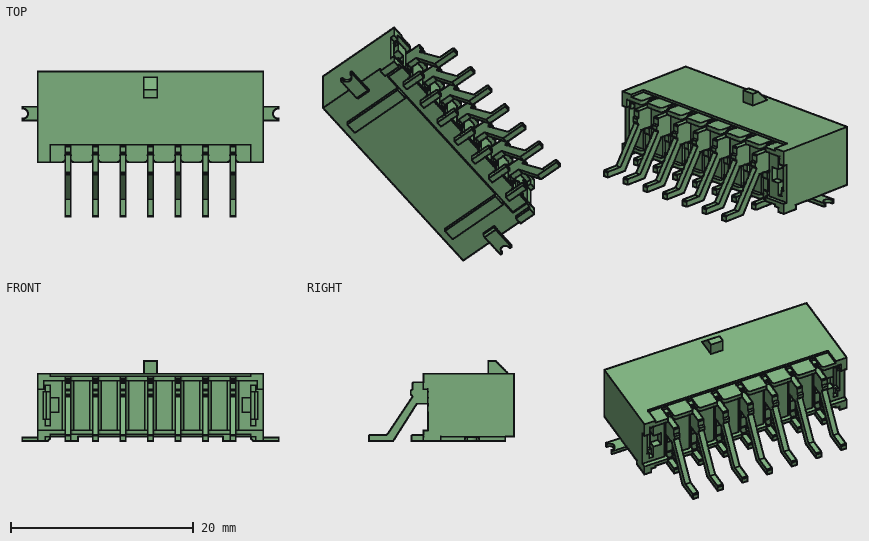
import cadquery as cq


body_width = 24.67
body_depth = 9.95
body_bottom = 0.5
body_top = 7.4
body_half = body_width / 2

step_width = 21.97
step_depth = 1.95
slot_top = 7.1
slot_bottom = 0.73

recess_depth = 0.5
lip_bottom = 6.6
ledge_top = 1.18
corner_block_bottom = 5.68
corner_block_inner = 11.65

terminal_count = 7
pitch = 3.0
terminal_width = 0.65
terminal_root = 2.25
slot_depth = 1.8
slot_flare = 0.3
lead_thickness = 0.67
lead_edge_break = 0.1
upper_lead_end = -5.95
lower_lead_end = -1.3

latch_width = 1.45
latch_top = 8.77
latch_back = 9.3
latch_front = 7.08
latch_height = latch_top - body_top

nail_tip = 14.05
nail_front = 4.55
nail_width = 1.55
nail_thickness = 0.42
nail_leg_outer = 11.5
nail_leg_inner = 11.0
nail_leg_height = 3.37
nail_chamfer = 0.25
nail_notch_radius = 0.53
nail_notch_inset = 0.1

foot_inner = nail_leg_outer
rail_inner = 7.92
rail_width = 1.35
rail_length = 7.05

tab_depth = 0.8
pocket_depth = 0.87
pocket_side_depth = 0.95
pocket_end_depth = 0.55
pocket_bottom = 1.7
pocket_top = 6.1
pocket_wide_bottom = 2.4
pocket_wide_top = 5.4
pocket_wide_outer = 11.75
pocket_step = 11.4
tab_inner = 10.05
tab_bottom = 3.15
tab_top = 4.75


def block(x_range, y_range, z_range):
    """Axis-aligned block spanning the given ranges."""
    sizes = [high - low for low, high in (x_range, y_range, z_range)]
    corner = (x_range[0], y_range[0], z_range[0])
    return cq.Workplane("XY").box(*sizes, centered=False).translate(corner)


def centred_block(half_width, y_range, z_range):
    """Block centred on X = 0."""
    return block((-half_width, half_width), y_range, z_range)


def side_profile(points, width):
    """Profile in (Y, Z), extruded symmetrically about X = 0."""
    return cq.Workplane("YZ").polyline(points).close().extrude(width / 2, both=True)


def mirrored(solid):
    """The solid together with its mirror image across X = 0."""
    return solid.union(solid.mirror("YZ"))


def make_housing():
    housing = centred_block(body_half, (0, body_depth), (body_bottom, body_top))
    step_y = (0, step_depth)
    housing = housing.cut(centred_block(step_width / 2, step_y, (slot_top, body_top)))
    housing = housing.cut(centred_block(step_width / 2, step_y, (body_bottom, slot_bottom)))
    recess_y = (0, recess_depth)
    housing = housing.cut(centred_block(body_half, recess_y, (ledge_top, corner_block_bottom)))
    housing = housing.cut(centred_block(corner_block_inner, recess_y, (ledge_top, lip_bottom)))
    return housing


def make_terminal_slot():
    """Slot with a rounded mouth at the lip and ledge and a chamfered mouth at the recess floor."""
    half = terminal_width / 2
    mouth = half + slot_flare
    arc_offset = slot_flare * (1 - 0.5 ** 0.5)
    slot = (
        cq.Workplane("XY", origin=(0, 0, slot_bottom))
        .moveTo(-mouth, 0)
        .lineTo(mouth, 0)
        .threePointArc((half + arc_offset, arc_offset), (half, slot_flare))
        .lineTo(half, slot_depth)
        .lineTo(-half, slot_depth)
        .lineTo(-half, slot_flare)
        .threePointArc((-half - arc_offset, arc_offset), (-mouth, 0))
        .close()
        .extrude(slot_top - slot_bottom)
    )
    flare_back = recess_depth + slot_flare
    recess_mouth = (
        cq.Workplane("XY", origin=(0, 0, ledge_top))
        .polyline([(-mouth, recess_depth), (mouth, recess_depth), (half, flare_back), (-half, flare_back)])
        .close()
        .extrude(lip_bottom - ledge_top)
    )
    return slot.union(recess_mouth)


def make_upper_terminal():
    """Long terminal: a barbed head in the slot and a lead that slopes down to the board."""
    head_top = 6.45
    head_bottom = 4.07
    head_front = -1.18
    barb_front = 0.98
    barb_back = 1.71
    barb_top = 6.88
    barb_break = 0.1
    barb_ramp = 0.15
    nose_front = -1.38
    nose_top = 5.54
    nose_bottom = 5.11
    nose_taper = 0.15
    slope_top = 4.85
    slope_underside_start = -0.7
    heel = -3.3
    bend_start = -3.9
    bend_end = -4.05
    return side_profile(
        [
            (terminal_root, head_bottom),
            (terminal_root, head_top),
            (barb_back + barb_ramp, head_top),
            (barb_back, barb_top),
            (barb_front + barb_break, barb_top),
            (barb_front, barb_top - barb_break),
            (barb_front, head_top + barb_ramp),
            (barb_front - barb_ramp, head_top),
            (head_front + lead_edge_break, head_top),
            (head_front, head_top - lead_edge_break),
            (head_front, nose_top + nose_taper),
            (nose_front, nose_top),
            (nose_front, nose_bottom),
            (nose_front + nose_taper, nose_bottom - nose_taper),
            (head_front, slope_top),
            (bend_start, lead_thickness + lead_edge_break),
            (bend_end, lead_thickness),
            (upper_lead_end + lead_edge_break, lead_thickness),
            (upper_lead_end, lead_thickness - lead_edge_break),
            (upper_lead_end, 0),
            (heel, 0),
            (slope_underside_start, head_bottom),
        ],
        terminal_width,
    )


def make_lower_terminal():
    """Short terminal: an upright head in the slot above a lead lying on the board."""
    head_top = 3.88
    head_bottom = 3.18
    head_front = 0.48
    neck_setback = 0.08
    heel_front = recess_depth
    heel_top = 1.63
    lead_back = 1.12
    neck_front = head_front + neck_setback
    return side_profile(
        [
            (terminal_root, slot_bottom),
            (terminal_root, head_top),
            (head_front, head_top),
            (head_front, head_bottom),
            (neck_front, head_bottom - neck_setback),
            (neck_front, heel_top + neck_setback),
            (heel_front, heel_top),
            (heel_front, lead_thickness + lead_edge_break),
            (heel_front - lead_edge_break, lead_thickness),
            (lower_lead_end + lead_edge_break, lead_thickness),
            (lower_lead_end, lead_thickness - lead_edge_break),
            (lower_lead_end, 0),
            (lead_back, 0),
            (lead_back, slot_bottom),
        ],
        terminal_width,
    )


def make_latch():
    ridge = latch_back - latch_height
    return side_profile(
        [(latch_back, body_top), (ridge, latch_top), (latch_front, latch_top), (latch_front, body_top)],
        latch_width,
    )


def recess_floor_cut(x_range, depth, z_range):
    """Block sunk into the recess floor to the given depth."""
    return block(x_range, (recess_depth, recess_depth + depth), z_range)


def make_nail_pocket():
    """Stepped pocket on the -X side of the recess floor."""
    wide_z = (pocket_wide_bottom, pocket_wide_top)
    ends = recess_floor_cut((-nail_leg_outer, -nail_leg_inner), pocket_end_depth, (pocket_bottom, pocket_top))
    side = recess_floor_cut((-pocket_wide_outer, -pocket_step), pocket_side_depth, wide_z)
    middle = recess_floor_cut((-pocket_step, -nail_leg_inner), pocket_depth, wide_z)
    tab = recess_floor_cut((-nail_leg_inner, -tab_inner), tab_depth, (tab_bottom, tab_top))
    return ends.union(side).union(middle).union(tab)


def make_nail():
    """L-shaped board nail on the -X side, with a rounded notch in its tip."""
    nail = (
        cq.Workplane("XZ", origin=(0, nail_front, 0))
        .polyline(
            [
                (-nail_tip, 0),
                (-nail_leg_inner - nail_chamfer, 0),
                (-nail_leg_inner, nail_chamfer),
                (-nail_leg_inner, nail_leg_height),
                (-nail_leg_outer, nail_leg_height),
                (-nail_leg_outer, nail_thickness),
                (-nail_tip, nail_thickness),
            ]
        )
        .close()
        .extrude(-nail_width)
    )
    notch = (
        cq.Workplane("XY", origin=(-nail_tip, nail_front + nail_width / 2, 0))
        .slot2D(2 * (nail_notch_radius + nail_notch_inset), 2 * nail_notch_radius)
        .extrude(nail_thickness)
    )
    return nail.cut(notch)


def make_feet():
    """Corner foot on the terminal edge and a narrow rail behind it, on the -X side."""
    foot_z = (0, body_bottom)
    corner_foot = block((-body_half, -foot_inner), (0, step_depth), foot_z)
    rail_x = (-rail_inner - rail_width, -rail_inner)
    rail = block(rail_x, (step_depth, step_depth + rail_length), foot_z)
    return corner_foot.union(rail)


result = make_housing().cut(mirrored(make_nail_pocket()))

slot = make_terminal_slot()
terminal_pair = make_upper_terminal().union(make_lower_terminal())
for index in range(terminal_count):
    position = ((index - (terminal_count - 1) / 2) * pitch, 0, 0)
    result = result.cut(slot.translate(position)).union(terminal_pair.translate(position))

result = result.union(mirrored(make_feet()))
result = result.union(mirrored(make_nail()))
result = result.union(make_latch())